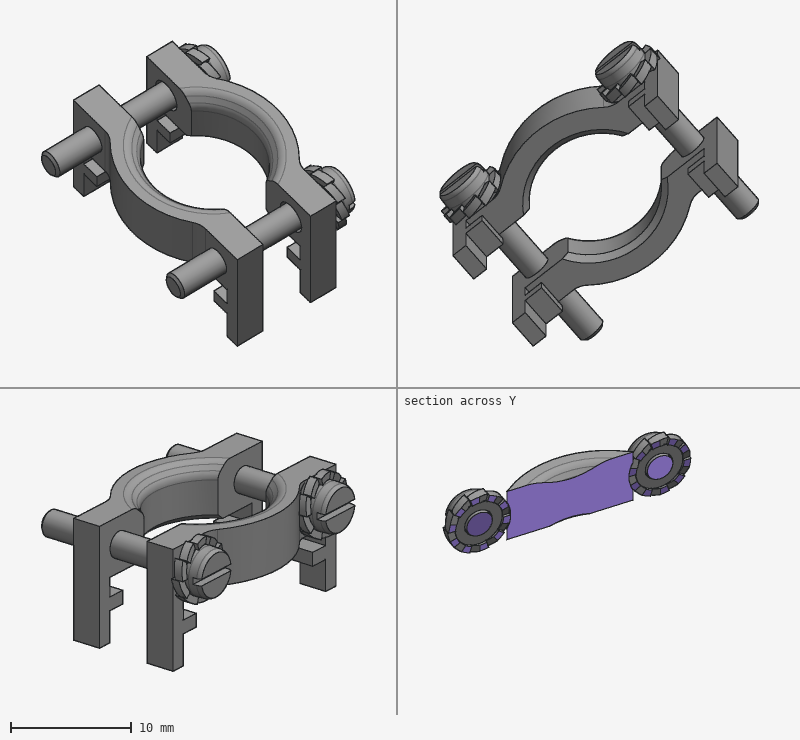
import cadquery as cq
import math


clamp_width = 22.0
clamp_height = 5.1
clamp_gap = 5.0
ear_thickness = 2.7
saddle_rise = 2.32
saddle_radius = 9.0
saddle_fillet = 2.0
wall_thickness = 2.35
bore_radius = 6.05
flare_chamfer = 1.0
flare_angle = 45
flare_round = 1.0
bottom_chamfer = 0.55
clearance_diameter = 2.85

leg_width = 1.4
leg_bottom = -8.47
tab_length = 1.75
tab_top = -4.32
tab_height = 1.25

screw_spacing = 16.75
shank_diameter = 2.4
tip_diameter = 1.9
tip_y = -9.85
head_diameter = 4.4
head_top_diameter = 4.32
head_face_diameter = 3.95
head_stack = 2.5
head_round_depth = 0.4
head_taper_depth = 1.21
slot_width = 0.6
slot_depth = 0.76

washer_diameter = 5.73
washer_bore = 2.56
tooth_thickness = 0.8
tooth_shift = 0.4
tooth_count = 10
tooth_gap_angle = 1.0

half_width = clamp_width / 2
half_height = clamp_height / 2
ear_inner = clamp_gap / 2
ear_outer = ear_inner + ear_thickness
crown = ear_outer + saddle_rise
washer_thickness = tooth_thickness - tooth_shift
washer_base = ear_outer + tooth_shift
head_base = washer_base + washer_thickness
head_face = ear_outer + head_stack
screw_positions = [-screw_spacing / 2, screw_spacing / 2]


def box_between(x_range, y_range, z_range):
    """Axis-aligned box given by its lower and upper limits along each axis."""
    sizes = [upper - lower for lower, upper in (x_range, y_range, z_range)]
    corner = (x_range[0], y_range[0], z_range[0])
    return cq.Workplane("XY").box(*sizes, centered=False).translate(corner)


def clamp_blank():
    """Ears and saddle bulging to +Y, without the bore."""
    saddle_center = crown - saddle_radius
    blend_distance = saddle_radius + saddle_fillet
    blend_center_y = ear_outer + saddle_fillet
    blend_center_x = math.sqrt(blend_distance**2 - (blend_center_y - saddle_center) ** 2)
    share = saddle_radius / blend_distance
    tangent_x = blend_center_x * share
    tangent_y = saddle_center + (blend_center_y - saddle_center) * share
    half_sweep = math.asin(blend_center_x / blend_distance) / 2
    middle_x = blend_center_x - saddle_fillet * math.sin(half_sweep)
    middle_y = blend_center_y - saddle_fillet * math.cos(half_sweep)
    return (
        cq.Workplane("XY")
        .workplane(offset=-half_height)
        .moveTo(-half_width, ear_inner)
        .lineTo(-half_width, ear_outer)
        .lineTo(-blend_center_x, ear_outer)
        .threePointArc((-middle_x, middle_y), (-tangent_x, tangent_y))
        .threePointArc((0, crown), (tangent_x, tangent_y))
        .threePointArc((middle_x, middle_y), (blend_center_x, ear_outer))
        .lineTo(half_width, ear_outer)
        .lineTo(half_width, ear_inner)
        .close()
        .extrude(clamp_height)
    )


def bore_cutter():
    """Revolved bore with a rounded flare at the top and a plain chamfer at the bottom."""
    slope = math.radians(flare_angle)
    setback = flare_round * math.tan(slope / 2)
    flare_radius = bore_radius + flare_chamfer + setback
    flare_bottom = half_height - flare_chamfer - setback
    long_leg = flare_round * math.sin(slope)
    short_leg = flare_round * (1 - math.cos(slope))
    middle_long = flare_round * math.sin(slope / 2)
    middle_short = flare_round * (1 - math.cos(slope / 2))
    bore_center_y = crown - wall_thickness - bore_radius
    return (
        cq.Workplane("XZ")
        .moveTo(0, -half_height)
        .lineTo(bore_radius + bottom_chamfer, -half_height)
        .lineTo(bore_radius, -half_height + bottom_chamfer)
        .lineTo(bore_radius, flare_bottom)
        .threePointArc(
            (bore_radius + middle_short, flare_bottom + middle_long),
            (bore_radius + short_leg, flare_bottom + long_leg),
        )
        .lineTo(flare_radius - long_leg, half_height - short_leg)
        .threePointArc((flare_radius - middle_long, half_height - middle_short), (flare_radius, half_height))
        .lineTo(0, half_height)
        .close()
        .revolve(360, (0, 0, 0), (0, 1, 0))
        .translate((0, bore_center_y, 0))
    )


def leg():
    """Leg with its inward tab, under the +X ear."""
    ear = (ear_inner, ear_outer)
    leg_inner = half_width - leg_width
    post = box_between((leg_inner, half_width), ear, (leg_bottom, 0))
    tab = box_between((leg_inner - tab_length, half_width), ear, (tab_top - tab_height, tab_top))
    return post.union(tab)


def y_cylinder(diameter, start, length):
    """Cylinder on the Y axis, from start towards +Y."""
    return cq.Workplane("XZ", origin=(0, start, 0)).circle(diameter / 2).extrude(-length)


def clamp_half(hole_diameter):
    """Clamp half on the +Y side, with one screw hole through each ear."""
    clamp = clamp_blank().cut(bore_cutter())
    clamp = clamp.union(leg()).union(leg().mirror("YZ"))
    for x in screw_positions:
        clamp = clamp.cut(y_cylinder(hole_diameter, ear_inner, ear_thickness).translate((x, 0, 0)))
    return clamp


def screw(x):
    """Slotted cheese-head screw with a chamfered tip."""
    tip_chamfer = (shank_diameter - tip_diameter) / 2
    taper_start = head_face - head_taper_depth
    round_start = head_face - head_round_depth
    rim = (head_top_diameter / 2, round_start)
    face_edge = (head_face_diameter / 2, head_face)
    body = (
        cq.Workplane("XY")
        .moveTo(0, tip_y)
        .lineTo(tip_diameter / 2, tip_y)
        .lineTo(shank_diameter / 2, tip_y + tip_chamfer)
        .lineTo(shank_diameter / 2, head_base)
        .lineTo(head_diameter / 2, head_base)
        .lineTo(head_diameter / 2, taper_start)
        .lineTo(*rim)
        .tangentArcPoint(face_edge, relative=False)
        .lineTo(0, head_face)
        .close()
        .revolve(360, (0, 0, 0), (0, 1, 0))
    )
    slot = box_between(
        (-head_diameter, head_diameter),
        (head_face - slot_depth, head_face),
        (-slot_width / 2, slot_width / 2),
    )
    return body.cut(slot).translate((x, 0, 0))


def washer_tooth():
    """Twisted tooth at the +Z side of the washer: its +X end is shifted towards the head."""
    half_angle = math.radians((360 / tooth_count - tooth_gap_angle) / 2)
    reach = washer_diameter
    sector = (
        cq.Workplane("XZ", origin=(0, ear_outer, 0))
        .polyline([(0, 0), (-reach * math.tan(half_angle), reach), (reach * math.tan(half_angle), reach)])
        .close()
        .extrude(-head_stack)
    )
    end_x = washer_diameter / 2 * math.sin(half_angle)
    twisted_slab = (
        cq.Workplane("XY")
        .polyline(
            [
                (-end_x, ear_outer),
                (end_x, ear_outer + tooth_shift),
                (end_x, ear_outer + tooth_shift + tooth_thickness),
                (-end_x, ear_outer + tooth_thickness),
            ]
        )
        .close()
        .extrude(washer_diameter)
    )
    tooth_ring = y_cylinder(washer_diameter, ear_outer, head_stack).cut(
        y_cylinder(head_diameter, ear_outer, head_stack)
    )
    return tooth_ring.intersect(sector).intersect(twisted_slab)


def lock_washer(x):
    """Flat ring under the screw head with twisted teeth around it."""
    washer = y_cylinder(head_diameter, washer_base, washer_thickness).cut(
        y_cylinder(washer_bore, washer_base, washer_thickness)
    )
    tooth = washer_tooth()
    for number in range(tooth_count):
        angle = number * 360 / tooth_count
        washer = washer.union(tooth.rotate((0, 0, 0), (0, 1, 0), angle))
    return washer.translate((x, 0, 0))


def head_side_clamp_half():
    """Clamp half under the screw heads, with washer seats recessed into the saddle's flanks."""
    clamp = clamp_half(clearance_diameter)
    seat = y_cylinder(washer_diameter, ear_outer, head_stack)
    for x in screw_positions:
        clamp = clamp.cut(seat.translate((x, 0, 0)))
    return clamp


head_side_clamp = head_side_clamp_half()
threaded_clamp = clamp_half(shank_diameter).mirror("XZ")
screws = [screw(x) for x in screw_positions]
washers = [lock_washer(x) for x in screw_positions]

result = cq.Compound.makeCompound(
    [body.val() for body in [head_side_clamp, threaded_clamp, *screws, *washers]]
)